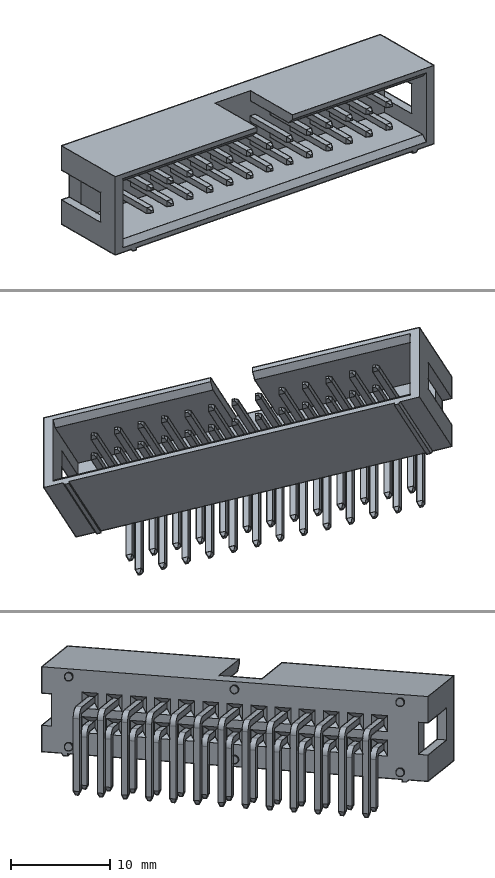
import cadquery as cq


length = 40.7
depth = 8.83
height = 8.83
front_x = 13.55
back_x = front_x - depth
half_length = length / 2
back_thickness = 1.95
end_wall = 1.0
side_wall = 1.15
mouth_chamfer = 0.6
cavity_x = back_x + back_thickness

key_width = 4.5
end_slot_length = 6.4
end_slot_height = 3.35

peg_diameter = 0.85
peg_height = 0.25
peg_end_distance = 2.9
peg_edge_distance = 0.77
rib_height = 0.25
rib_width = 0.65
rib_bevel = 0.2
rib_end_distance = 2.07

pins_per_row = 13
row_span = 30.45
pitch = row_span / (pins_per_row - 1)
pin_size = 0.65
bend_inner_radius = 0.35
tip_length = 0.45
tip_size = 0.3
pin_front_gap = 0.5
pin_tail = 3.0
pocket_size = 1.65
pocket_depth = 0.53

middle_z = height / 2
upper_z = middle_z + pitch / 2
lower_z = middle_z - pitch / 2
upper_tail_x = pin_size / 2
lower_tail_x = upper_tail_x + pitch


def box(x_range, y_range, z_range):
    """Block spanning the given (low, high) limits."""
    spans = [high - low for low, high in (x_range, y_range, z_range)]
    corner = (x_range[0], y_range[0], z_range[0])
    return cq.Workplane("XY").box(*spans, centered=False).translate(corner)


def frustum(origin, direction, base_size, end_size, taper_length):
    """Square pyramid frustum growing from origin along direction."""
    plane = cq.Plane(origin=origin, xDir=(0, 1, 0), normal=direction)
    return (
        cq.Workplane(plane)
        .rect(base_size, base_size)
        .workplane(offset=taper_length)
        .rect(end_size, end_size)
        .loft(ruled=True)
    )


def along_row(item):
    """Copies of an item modelled at Y = 0, one at every pin of a row."""
    places = [(0, i * pitch - row_span / 2) for i in range(pins_per_row)]
    return cq.Workplane("XY").pushPoints(places).eachpoint(item.val(), combine=False)


def cavity():
    """Mating cavity, with its mouth chamfered on the upper and lower walls."""
    chamfer_x = front_x - mouth_chamfer
    top_z = height - side_wall
    return (
        cq.Workplane("XZ")
        .polyline([
            (cavity_x, side_wall),
            (chamfer_x, side_wall),
            (front_x, side_wall - mouth_chamfer),
            (front_x, top_z + mouth_chamfer),
            (chamfer_x, top_z),
            (cavity_x, top_z),
        ])
        .close()
        .extrude(half_length - end_wall, both=True)
    )


def key_notch():
    """Polarising notch through the top wall, open at the mating face."""
    half_width = key_width / 2
    return box((cavity_x, front_x), (-half_width, half_width), (middle_z, height))


def end_slot(side):
    """Slot through one end wall, open at the rear face."""
    outer = side * half_length
    inner = side * (half_length - end_wall)
    z_range = (middle_z - end_slot_height / 2, middle_z + end_slot_height / 2)
    return box((back_x, back_x + end_slot_length), sorted((outer, inner)), z_range)


def pegs():
    """Stand-off pegs on the rear face."""
    peg_y = half_length - peg_end_distance
    centres = [
        (y, z)
        for y in (-peg_y, 0, peg_y)
        for z in (peg_edge_distance, height - peg_edge_distance)
    ]
    return (
        cq.Workplane("YZ", origin=(back_x, 0, 0))
        .pushPoints(centres)
        .circle(peg_diameter / 2)
        .extrude(-peg_height)
    )


def rib(side):
    """Rib along the underside, bevelled on its outer edge."""
    outer = half_length - rib_end_distance
    inner = outer - rib_width
    profile = [(inner, 0), (outer, 0), (outer - rib_bevel, -rib_height), (inner, -rib_height)]
    return (
        cq.Workplane("YZ", origin=(back_x, 0, 0))
        .polyline([(side * y, z) for y, z in profile])
        .close()
        .extrude(depth)
    )


def pin(tail_x, leg_z):
    """Bent square pin at Y = 0, given the centrelines of its tail and its mating leg."""
    bend_radius = bend_inner_radius + pin_size / 2
    tail_end = tip_length - pin_tail
    mating_end = front_x - pin_front_gap - tip_length
    path = (
        cq.Workplane("XZ")
        .moveTo(tail_x, tail_end)
        .lineTo(tail_x, leg_z - bend_radius)
        .radiusArc((tail_x + bend_radius, leg_z), bend_radius)
        .lineTo(mating_end, leg_z)
    )
    bent = cq.Workplane("XY", origin=(tail_x, 0, tail_end)).rect(pin_size, pin_size).sweep(path)
    tail_tip = frustum((tail_x, 0, tail_end), (0, 0, -1), pin_size, tip_size, tip_length)
    mating_tip = frustum((mating_end, 0, leg_z), (1, 0, 0), pin_size, tip_size, tip_length)
    return bent.union(tail_tip).union(mating_tip)


def pocket(z):
    """Funnel in the rear face at Y = 0, narrowing to the pin section."""
    return frustum((back_x, 0, z), (1, 0, 0), pocket_size, pin_size, pocket_depth)


result = box((back_x, front_x), (-half_length, half_length), (0, height))
result = result.cut(cavity()).cut(key_notch()).union(pegs())
for end in (-1, 1):
    result = result.cut(end_slot(end)).union(rib(end))
for row_z, row_tail_x in ((upper_z, upper_tail_x), (lower_z, lower_tail_x)):
    result = result.cut(along_row(pocket(row_z)))
    result = result.union(along_row(pin(row_tail_x, row_z)))